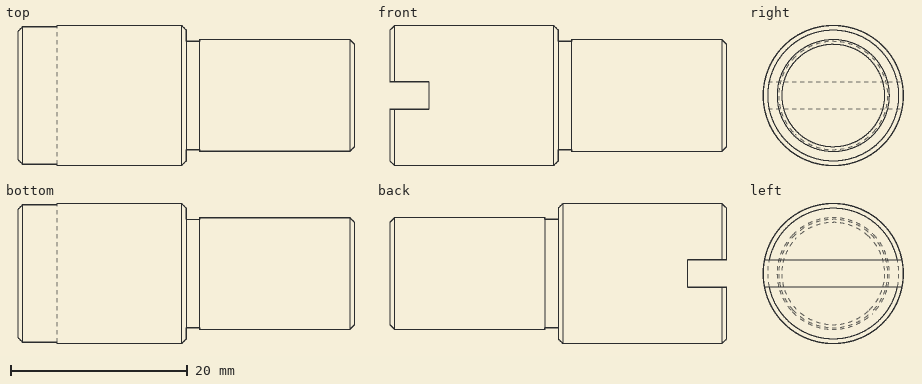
import cadquery as cq

total_length = 38.1
head_diameter = 15.9
head_length = 19.05
shank_diameter = 12.7
neck_diameter = 12.3
neck_length = 1.52
edge_chamfer = 0.55
slot_width = 3.1
slot_depth = 4.42


def turned_section(start, length, diameter):
    """Solid cylinder along X, beginning at the given X position."""
    return cq.Workplane("YZ", origin=(start, 0, 0)).circle(diameter / 2).extrude(length)


head = turned_section(0, head_length, head_diameter)
head = head.faces("<X or >X").chamfer(edge_chamfer)

neck = turned_section(head_length, neck_length, neck_diameter)

shank_start = head_length + neck_length
shank = turned_section(shank_start, total_length - shank_start, shank_diameter)
shank = shank.faces(">X").chamfer(edge_chamfer)

slot = cq.Workplane("XY").box(
    slot_depth, head_diameter, slot_width, centered=(False, True, True)
)

result = head.union(neck).union(shank).cut(slot)